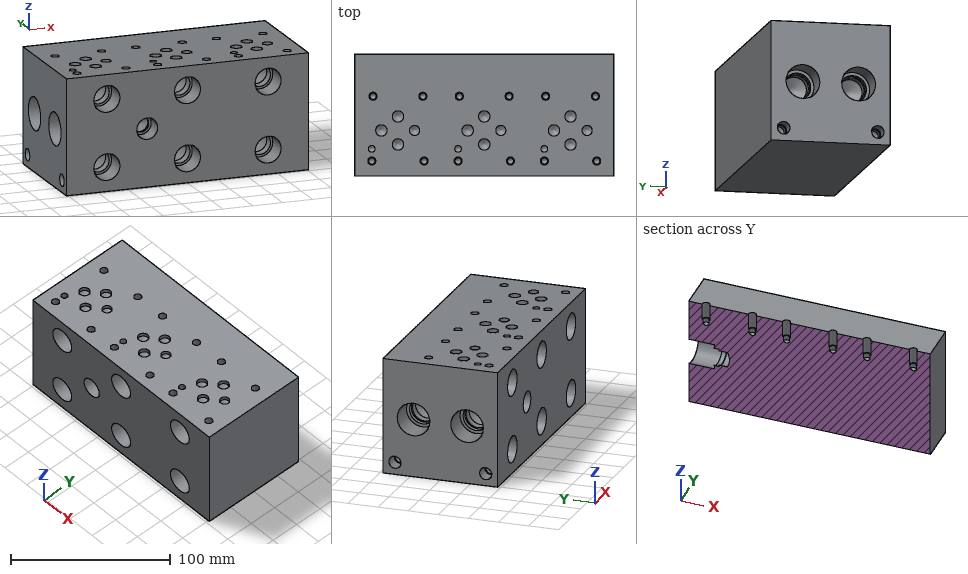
import cadquery as cq
import math

LENGTH = 162.0
WIDTH = 76.3
HEIGHT = 76.3

DRILL_POINT_ANGLE = 118.0

WORK_PORT_STEPS = [(17.3, 14.5), (14.2, 21.0)]
GAUGE_PORT_STEPS = [(14.0, 11.3), (10.7, 13.0)]
GALLERY_PORT_STEPS = [(21.5, 17.0), (17.5, 20.2), (15.9, 25.9)]
END_BOLT_STEPS = [(8.0, 9.7), (6.8, 14.5)]
VALVE_BOLT_STEPS = [(5.0, 11.3), (3.9, 14.5)]
PIN_STEPS = [(4.2, 4.9)]
LARGE_PASSAGE_STEPS = [(7.1, 2.6)]
SMALL_PASSAGE_STEPS = [(6.3, 2.5)]

STATION_PITCH = 54.0
STATION_CENTRES = [-STATION_PITCH, 0.0, STATION_PITCH]

WORK_PORT_OFFSET_Z = 22.2
GAUGE_PORT_X = -STATION_PITCH / 2

GALLERY_OFFSET_Y = 17.8
END_BOLT_OFFSET_Y = 30.1
END_BOLT_ABOVE_BASE = 8.1
END_BOLT_Z = END_BOLT_ABOVE_BASE - HEIGHT / 2

PATTERN_Y = -9.5
PASSAGE_OFFSET_X = 10.4
PASSAGE_OFFSET_Y = 8.7
REAR_BOLT_OFFSET_X = 15.5
REAR_BOLT_OFFSET_Y = 21.4
FRONT_BOLT_OFFSET_X = 16.4
FRONT_BOLT_OFFSET_Y = 19.1
PIN_OFFSET_Y = 11.5


def stepped_drill(steps):
    """Return the volume of a stepped hole that runs up +Z from the origin to a conical tip."""
    profile = [(0.0, 0.0)]
    start = 0.0
    for diameter, depth in steps:
        radius = diameter / 2
        profile += [(radius, start), (radius, depth)]
        start = depth
    tip_length = radius / math.tan(math.radians(DRILL_POINT_ANGLE / 2))
    profile.append((0.0, start + tip_length))
    return cq.Workplane("XZ").polyline(profile).close().revolve(360, (0, 0), (0, 1))


def drill_front(body, steps, x, z):
    """Drill toward +Y from the front face."""
    tool = stepped_drill(steps).rotate((0, 0, 0), (1, 0, 0), -90)
    return body.cut(tool.translate((x, -WIDTH / 2, z)))


def drill_left_end(body, steps, y, z):
    """Drill toward +X from the left end face."""
    tool = stepped_drill(steps).rotate((0, 0, 0), (0, 1, 0), 90)
    return body.cut(tool.translate((-LENGTH / 2, y, z)))


def drill_top(body, steps, x, y):
    """Drill downward from the top face."""
    tool = stepped_drill(steps).rotate((0, 0, 0), (1, 0, 0), 180)
    return body.cut(tool.translate((x, y, HEIGHT / 2)))


def drill_valve_station(body, centre_x):
    """Drill one valve station: four passages, four mounting bolts and a locating pin hole."""
    rear_bolt_y = PATTERN_Y + REAR_BOLT_OFFSET_Y
    front_bolt_y = PATTERN_Y - FRONT_BOLT_OFFSET_Y
    body = drill_top(body, LARGE_PASSAGE_STEPS, centre_x - PASSAGE_OFFSET_X, PATTERN_Y)
    body = drill_top(body, SMALL_PASSAGE_STEPS, centre_x + PASSAGE_OFFSET_X, PATTERN_Y)
    body = drill_top(body, PIN_STEPS, centre_x - FRONT_BOLT_OFFSET_X, PATTERN_Y - PIN_OFFSET_Y)
    for side in (-1, 1):
        body = drill_top(body, LARGE_PASSAGE_STEPS, centre_x, PATTERN_Y + side * PASSAGE_OFFSET_Y)
        body = drill_top(body, VALVE_BOLT_STEPS, centre_x + side * REAR_BOLT_OFFSET_X, rear_bolt_y)
        body = drill_top(body, VALVE_BOLT_STEPS, centre_x + side * FRONT_BOLT_OFFSET_X, front_bolt_y)
    return body


block = cq.Workplane("XY").box(LENGTH, WIDTH, HEIGHT)

for station_x in STATION_CENTRES:
    block = drill_valve_station(block, station_x)
    for side in (-1, 1):
        block = drill_front(block, WORK_PORT_STEPS, station_x, side * WORK_PORT_OFFSET_Z)

block = drill_front(block, GAUGE_PORT_STEPS, GAUGE_PORT_X, 0.0)

for side in (-1, 1):
    block = drill_left_end(block, GALLERY_PORT_STEPS, side * GALLERY_OFFSET_Y, 0.0)
    block = drill_left_end(block, END_BOLT_STEPS, side * END_BOLT_OFFSET_Y, END_BOLT_Z)

result = block